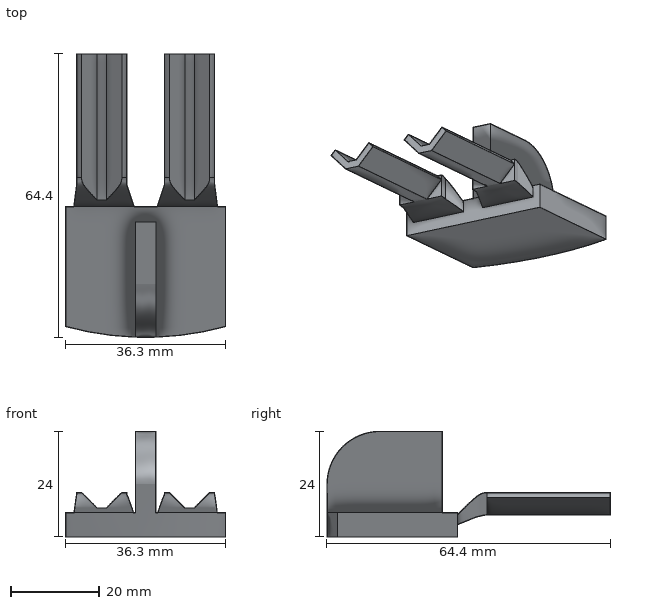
import cadquery as cq
import math

plate_width = 36.3
plate_back = 29.7
plate_thickness = 5.55
front_bow = 2.45

fin_thickness = 4.7
fin_back = 26.2
fin_top = 24.0
fin_radius = 12.05

tray_offset = 10.0
tray_end = 64.4
tray_bottom = 5.0
tray_top = 10.1
floor_half = 1.1
sheet_thickness = 1.6
wall_angle = 45.0

neck_start = 36.3
neck_widening = 34.7
bend_length = 2.25
upper_slope = 43.0
lower_slope = 22.0
flare_inner = 1.7
flare_outer = 0.65

floor_z = tray_bottom + sheet_thickness
wall_run = (tray_top - floor_z) / math.tan(math.radians(wall_angle))
rim_half = floor_half + wall_run
lip_run = sheet_thickness * math.sin(math.radians(wall_angle))
lip_drop = sheet_thickness * math.cos(math.radians(wall_angle))
tray_half = rim_half + lip_run
under_half = floor_half + sheet_thickness * math.tan(math.radians(wall_angle / 2))


def bowed_slab(height):
    half = plate_width / 2
    return (
        cq.Workplane("XY")
        .moveTo(-half, front_bow)
        .threePointArc((0, 0), (half, front_bow))
        .lineTo(half, plate_back)
        .lineTo(-half, plate_back)
        .close()
        .extrude(height)
    )


def make_fin():
    blank = cq.Workplane("XY").box(fin_thickness, fin_back, fin_top, centered=(True, False, False))
    fin = blank.intersect(bowed_slab(fin_top))
    return fin.faces(">Z").edges("<Y").fillet(fin_radius)


def extrude_along_tray(points, start):
    section = cq.Workplane("XZ", origin=(0, start, 0)).polyline(points).close()
    return section.extrude(start - tray_end)


def make_channel():
    right_side = [
        (under_half, tray_bottom),
        (tray_half, tray_top - lip_drop),
        (rim_half, tray_top),
        (floor_half, floor_z),
    ]
    left_side = [(-x, z) for x, z in reversed(right_side)]
    return extrude_along_tray(right_side + left_side, neck_start)


def make_trough():
    points = [
        (-floor_half, floor_z),
        (floor_half, floor_z),
        (rim_half, tray_top),
        (-rim_half, tray_top),
    ]
    return extrude_along_tray(points, plate_back)


def bend_end(start_z, slope):
    return neck_start - bend_length, start_z - bend_length * math.tan(math.radians(slope / 2))


def slope_foot(start_z, slope):
    y, z = bend_end(start_z, slope)
    return plate_back, z - (y - plate_back) * math.tan(math.radians(slope))


def downhill(slope):
    return -math.cos(math.radians(slope)), -math.sin(math.radians(slope))


def uphill(slope):
    return math.cos(math.radians(slope)), math.sin(math.radians(slope))


def make_neck():
    upper_foot = slope_foot(tray_top, upper_slope)
    lower_foot = slope_foot(tray_bottom, lower_slope)
    profile = (
        cq.Workplane("YZ", origin=(-plate_width / 2, 0, 0))
        .moveTo(neck_start, tray_top)
        .spline(
            [(neck_start, tray_top), bend_end(tray_top, upper_slope), upper_foot],
            tangents=[(-1, 0), downhill(upper_slope)],
        )
        .lineTo(*lower_foot)
        .spline(
            [lower_foot, bend_end(tray_bottom, lower_slope), (neck_start, tray_bottom)],
            tangents=[uphill(lower_slope), (1, 0)],
        )
        .close()
        .extrude(plate_width)
    )
    plan = (
        cq.Workplane("XY")
        .polyline([
            (-tray_half - flare_outer, plate_back),
            (tray_half + flare_inner, plate_back),
            (tray_half, neck_widening),
            (tray_half, neck_start),
            (-tray_half, neck_start),
            (-tray_half, neck_widening),
        ])
        .close()
        .extrude(tray_top)
    )
    return profile.intersect(plan).cut(make_trough())


left_arm = make_channel().union(make_neck()).translate((-tray_offset, 0, 0))
right_arm = left_arm.mirror("YZ")

result = bowed_slab(plate_thickness).union(make_fin()).union(left_arm).union(right_arm)